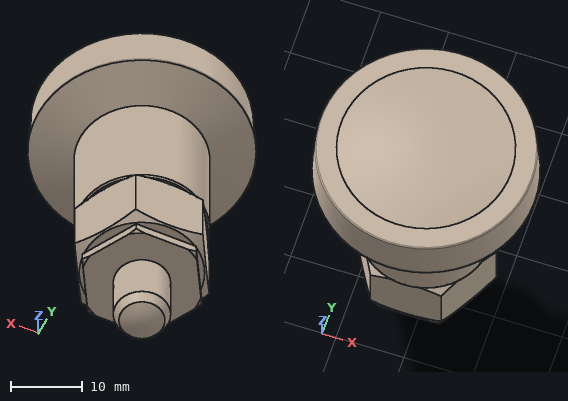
import cadquery as cq
import math

total_height = 49.5
tip_cap_height = 0.7
pin_shoulder_z = 2.1
thin_nut_bottom_z = 9.5
thin_nut_top_z = 10.95
nut_bottom_z = 11.9
nut_top_z = 21.85
sleeve_top_z = 38.25
rim_bottom_z = 40.2
knob_face_z = 47.2

pin_radius = 8.0 / 2
tip_radius = 3.2
thread_radius = 10.4 / 2
sleeve_radius = 19.0 / 2
sleeve_chamfer = 0.25
rim_radius = 32.0 / 2
rim_height = 0.4
knob_face_radius = 15.6
knob_edge_fillet = 0.2
dome_radius = 12.55

nut_across_flats = 18.0
thin_nut_across_flats = 16.0
nut_face_radius = 8.75
thin_nut_face_radius = 8.65
corner_clearance = 0.5
nut_chamfer_slope = math.tan(math.radians(30))


def cap_sphere_radius(chord_radius, rise):
    """Sphere radius of a cap with the given base radius and height."""
    return (chord_radius**2 + rise**2) / (2 * rise)


def cap_midpoint(base_radius, base_z, apex_z):
    """Point (r, z) on a spherical cap, at half of its base radius."""
    rise = abs(apex_z - base_z)
    sphere = cap_sphere_radius(base_radius, rise)
    half = base_radius / 2
    drop = sphere - math.sqrt(sphere**2 - half**2)
    return half, apex_z - math.copysign(drop, apex_z - base_z)


def cylinder(radius, bottom_z, top_z):
    return cq.Workplane("XY").workplane(offset=bottom_z).circle(radius).extrude(top_z - bottom_z)


def hex_nut(across_flats, bottom_z, top_z, face_radius, bevel_top):
    """Hexagonal prism with its corners turned to a cone at the bottom and, optionally, the top."""
    corner_radius = across_flats / math.sqrt(3)
    outer_radius = corner_radius + corner_clearance
    radial_cut = outer_radius - face_radius
    bevel = radial_cut * nut_chamfer_slope
    height = top_z - bottom_z

    prism = (
        cq.Workplane("XY")
        .workplane(offset=bottom_z)
        .polygon(6, 2 * corner_radius)
        .extrude(height)
    )
    envelope = cylinder(outer_radius, bottom_z, top_z)
    envelope = envelope.faces("<Z").chamfer(bevel, radial_cut)
    if bevel_top:
        envelope = envelope.faces(">Z").chamfer(bevel, radial_cut)
    return prism.intersect(envelope)


def pin():
    """Locating pin with a tapered, slightly domed tip."""
    return (
        cq.Workplane("XZ")
        .moveTo(0, 0)
        .threePointArc(cap_midpoint(tip_radius, tip_cap_height, 0), (tip_radius, tip_cap_height))
        .lineTo(pin_radius, pin_shoulder_z)
        .lineTo(pin_radius, thin_nut_top_z)
        .lineTo(0, thin_nut_top_z)
        .close()
        .revolve(360, (0, 0, 0), (0, 1, 0))
    )


def knob():
    """Flared underside, slightly tapered grip, flat top ring and a domed centre."""
    grip = (
        cq.Workplane("XZ")
        .moveTo(0, sleeve_top_z)
        .lineTo(sleeve_radius, sleeve_top_z)
        .lineTo(rim_radius, rim_bottom_z)
        .lineTo(rim_radius, rim_bottom_z + rim_height)
        .lineTo(knob_face_radius, knob_face_z)
        .lineTo(0, knob_face_z)
        .close()
        .revolve(360, (0, 0, 0), (0, 1, 0))
        .faces(">Z")
        .edges()
        .fillet(knob_edge_fillet)
    )
    dome = (
        cq.Workplane("XZ")
        .moveTo(0, knob_face_z)
        .lineTo(dome_radius, knob_face_z)
        .threePointArc(cap_midpoint(dome_radius, knob_face_z, total_height), (0, total_height))
        .close()
        .revolve(360, (0, 0, 0), (0, 1, 0))
    )
    return grip.union(dome)


thin_nut = hex_nut(
    thin_nut_across_flats, thin_nut_bottom_z, thin_nut_top_z, thin_nut_face_radius, bevel_top=False
)
thread = cylinder(thread_radius, thin_nut_top_z, nut_bottom_z)
nut = hex_nut(nut_across_flats, nut_bottom_z, nut_top_z, nut_face_radius, bevel_top=True)
sleeve = cylinder(sleeve_radius, nut_top_z, sleeve_top_z).faces("<Z").chamfer(sleeve_chamfer)

result = pin().union(thin_nut).union(thread).union(nut).union(sleeve).union(knob())